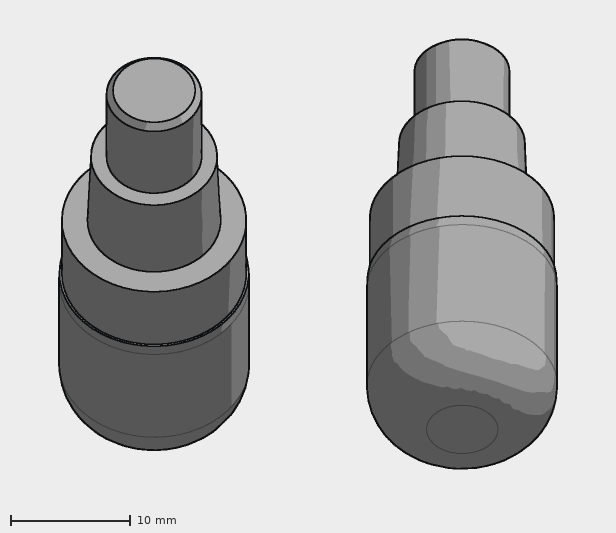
import cadquery as cq
import math

cap_diameter = 16.0
cap_height = 17.0
cap_end_radius = 5.0
rim_height = 1.0
rim_inset = 0.05

collar_diameter = 15.5
collar_height = 7.0
taper_base_diameter = 11.2
taper_top_diameter = 10.6
taper_height = 8.5
pin_diameter = 8.0
pin_height = 8.75
pin_chamfer = 0.55


def make_cap():
    """Solid cap with a rounded lower end and a slightly tapered rim at the top."""
    radius = cap_diameter / 2
    arc_centre_x = radius - cap_end_radius
    arc_centre_z = cap_end_radius
    arc_reach = cap_end_radius * math.cos(math.radians(45))
    return (
        cq.Workplane("XZ")
        .lineTo(arc_centre_x, 0)
        .threePointArc(
            (arc_centre_x + arc_reach, arc_centre_z - arc_reach),
            (radius, arc_centre_z),
        )
        .lineTo(radius, cap_height - rim_height)
        .lineTo(radius - rim_inset, cap_height)
        .lineTo(0, cap_height)
        .close()
        .revolve(360, (0, 0), (0, 1))
    )


def make_stud():
    """Stud seated on the cap: collar, tapered shoulder and chamfered pin."""
    collar_top = cap_height + collar_height
    taper_top = collar_top + taper_height
    pin_top = taper_top + pin_height
    return (
        cq.Workplane("XZ")
        .moveTo(0, cap_height)
        .lineTo(collar_diameter / 2, cap_height)
        .lineTo(collar_diameter / 2, collar_top)
        .lineTo(taper_base_diameter / 2, collar_top)
        .lineTo(taper_top_diameter / 2, taper_top)
        .lineTo(pin_diameter / 2, taper_top)
        .lineTo(pin_diameter / 2, pin_top - pin_chamfer)
        .lineTo(pin_diameter / 2 - pin_chamfer, pin_top)
        .lineTo(0, pin_top)
        .close()
        .revolve(360, (0, 0), (0, 1))
    )


cap = make_cap()
stud = make_stud()

result = cq.Compound.makeCompound([cap.val(), stud.val()])